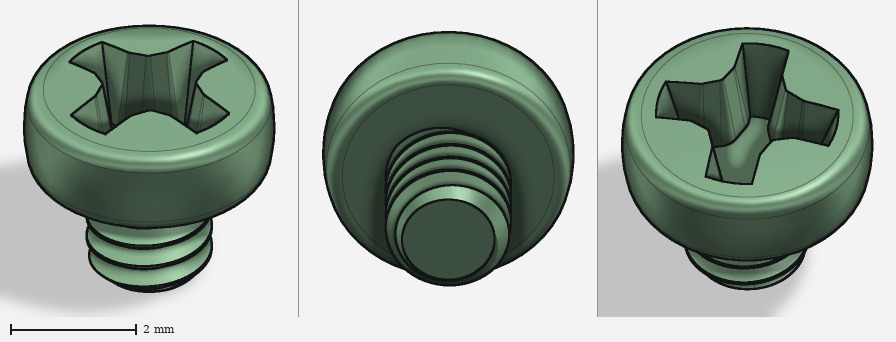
import cadquery as cq
import math

shank_length = 2.0
head_radius = 2.0
barrel_edge_radius = 1.95
rim_radius = 1.69
rim_height = 1.44
corner_height = 0.24
dome_rise = 0.16
rim_z = shank_length + rim_height
apex_z = rim_z + dome_rise
barrel_mid_z = shank_length + rim_height / 2

thread_angle = 60.0
pitch = 0.4
thread_radius = 1.0
root_radius = 0.74
crest_width = pitch / 8
flank_slope = math.tan(math.radians(thread_angle / 2))
crest_z = 0.325
tip_radius = root_radius
envelope_radius = 1.2
root_overlap = 0.02
head_overlap = 0.04

recess_floor_z = 2.2
flank_lean = 21.0


def revolved_head():
    """Pan head with a bulged barrel, rounded corners and a shallow dome."""
    sphere_radius = (rim_radius**2 + dome_rise**2) / (2 * dome_rise)
    mid_radius = rim_radius / 2
    mid_z = apex_z - sphere_radius + math.sqrt(sphere_radius**2 - mid_radius**2)
    return (
        cq.Workplane("XZ")
        .moveTo(0, shank_length)
        .lineTo(rim_radius, shank_length)
        .tangentArcPoint((barrel_edge_radius, shank_length + corner_height), relative=False)
        .threePointArc((head_radius, barrel_mid_z), (barrel_edge_radius, rim_z - corner_height))
        .tangentArcPoint((rim_radius, rim_z), relative=False)
        .threePointArc((mid_radius, mid_z), (0, apex_z))
        .close()
        .revolve(360, (0, 0, 0), (0, 1, 0))
    )


def threaded_shank():
    """Core plus helical ridge, trimmed to a 45 degree chamfer at the tip."""
    top_z = shank_length + head_overlap
    ridge_start = crest_z - 2 * pitch
    ridge_height = top_z + pitch - ridge_start
    inner_radius = root_radius - root_overlap
    half_crest = crest_width / 2
    half_base = half_crest + (thread_radius - inner_radius) * flank_slope
    helix = cq.Wire.makeHelix(pitch, ridge_height, root_radius, center=cq.Vector(0, 0, ridge_start))
    ridge = (
        cq.Workplane("XZ")
        .polyline([
            (inner_radius, ridge_start - half_base),
            (thread_radius, ridge_start - half_crest),
            (thread_radius, ridge_start + half_crest),
            (inner_radius, ridge_start + half_base),
        ])
        .close()
        .sweep(cq.Workplane(obj=helix), isFrenet=True)
    )
    core = (
        cq.Workplane("XY", origin=(0, 0, ridge_start - pitch))
        .circle(root_radius)
        .extrude(ridge_height + 2 * pitch)
    )
    envelope = (
        cq.Workplane("XY")
        .circle(envelope_radius)
        .extrude(top_z)
        .faces("<Z")
        .chamfer(envelope_radius - tip_radius)
    )
    return core.union(ridge).intersect(envelope)


def bend_sagitta(start, end, turn):
    """Height of an arc from start to end whose direction turns by the given degrees."""
    return math.dist(start, end) / 2 * math.tan(math.radians(turn / 4))


def recess_outline(z, arm_reach, half_width, neck_y, flank_start, flank_end):
    """Cross outline; the points given lie on the +X side of the +Y arm."""
    def turned(point, quarter):
        x, y = point
        for _ in range(quarter):
            x, y = y, -x
        return (x, y)

    def mirrored(point):
        return (point[1], point[0])

    tip = (half_width, math.sqrt(arm_reach**2 - half_width**2))
    neck = (half_width, neck_y)
    neck_sag = bend_sagitta(neck, flank_start, flank_lean)
    nose_sag = bend_sagitta(flank_end, mirrored(flank_end), 90 - 2 * flank_lean)

    outline = cq.Workplane("XY", origin=(0, 0, z)).moveTo(-tip[0], tip[1])
    for quarter in range(4):
        outline = (
            outline
            .threePointArc(turned((0, arm_reach), quarter), turned(tip, quarter))
            .lineTo(*turned(neck, quarter))
            .sagittaArc(turned(flank_start, quarter), -neck_sag)
            .lineTo(*turned(flank_end, quarter))
            .sagittaArc(turned(mirrored(flank_end), quarter), -nose_sag)
            .lineTo(*turned(mirrored(flank_start), quarter))
            .sagittaArc(turned(mirrored(neck), quarter), -neck_sag)
            .lineTo(*turned(mirrored(tip), quarter))
        )
    return outline.wire().val()


def cross_recess():
    floor = recess_outline(
        recess_floor_z, arm_reach=1.0, half_width=0.16, neck_y=0.85,
        flank_start=(0.19, 0.73), flank_end=(0.29, 0.48),
    )
    mouth = recess_outline(
        apex_z, arm_reach=1.495, half_width=0.395, neck_y=0.85,
        flank_start=(0.405, 0.815), flank_end=(0.51, 0.56),
    )
    return cq.Workplane(obj=cq.Solid.makeLoft([floor, mouth], True))


result = revolved_head().union(threaded_shank()).cut(cross_recess())